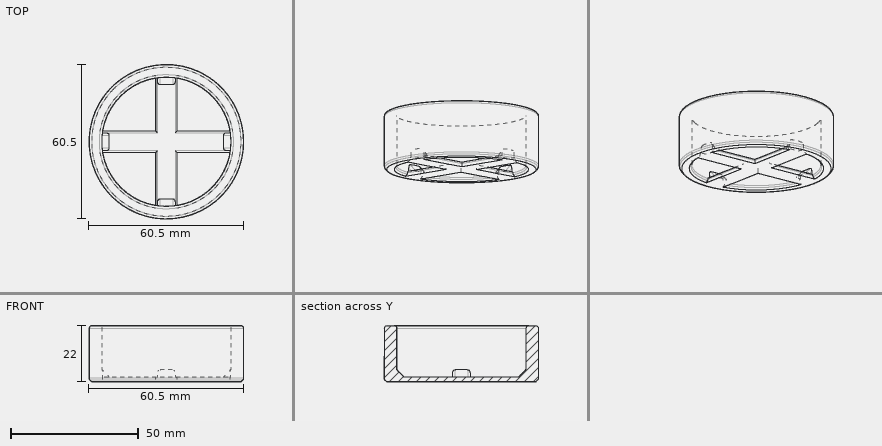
import cadquery as cq

outer_diameter = 60.5
inner_diameter = 50.5
height = 22.0
edge_size = 1.0

arm_width = 8.5
arm_thickness = 2.0
arm_edge_radius = 0.7

wedge_tip_radius = 22.4
wedge_width = arm_width - 2 * arm_edge_radius
wedge_edge_radius = 0.95

outer_radius = outer_diameter / 2
inner_radius = inner_diameter / 2
root_radius = (inner_radius + outer_radius) / 2


def make_ring():
    """Ring with rounded top rims and blended chamfers around both bottom edges."""
    profile = (
        cq.Workplane("XZ")
        .moveTo(inner_radius + edge_size, 0)
        .lineTo(outer_radius - edge_size, 0)
        .lineTo(outer_radius, edge_size)
        .lineTo(outer_radius, height)
        .lineTo(inner_radius, height)
        .lineTo(inner_radius, edge_size)
        .close()
    )
    ring = profile.revolve(360, (0, 0, 0), (0, 1, 0))
    ring = ring.faces(">Z").edges().fillet(edge_size)
    reach = outer_diameter
    height_band = edge_size / 2
    chamfer_tops = cq.selectors.BoxSelector(
        (-reach, -reach, edge_size - height_band),
        (reach, reach, edge_size + height_band),
        boundingbox=True,
    )
    return ring.edges("%CIRCLE").edges(chamfer_tops).fillet(edge_size)


def make_cross():
    """Two crossed arms with rounded upper side edges."""
    length = 2 * root_radius
    centered = (True, True, False)
    cross = (
        cq.Workplane()
        .box(length, arm_width, arm_thickness, centered=centered)
        .union(cq.Workplane().box(arm_width, length, arm_thickness, centered=centered))
    )
    return cross.faces(">Z").edges().fillet(arm_edge_radius)


def make_wedge():
    """Wedge on the +X arm, with rounded edges along its sloping face."""
    rise = root_radius - wedge_tip_radius
    wedge = (
        cq.Workplane("XZ")
        .moveTo(wedge_tip_radius - arm_thickness, 0)
        .lineTo(root_radius, 0)
        .lineTo(root_radius, arm_thickness + rise)
        .close()
        .extrude(wedge_width / 2, both=True)
    )
    sloping_edges = cq.selectors.ParallelDirSelector(cq.Vector(1, 0, 1))
    return wedge.edges(sloping_edges).fillet(wedge_edge_radius)


spokes = make_cross()
wedge = make_wedge()
for quarter in range(4):
    spokes = spokes.union(wedge.rotate((0, 0, 0), (0, 0, 1), 90 * quarter))

result = make_ring().union(spokes)